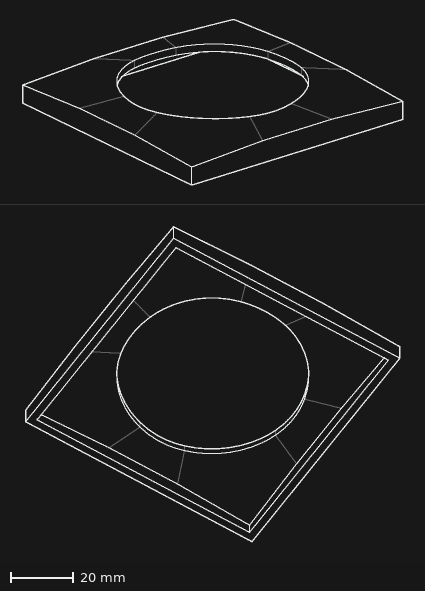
import cadquery as cq
import math

side = 87.1
hole_diameter = 61.85
mid_edge_height = 7.8
corner_height = 6.4
crest_height = 10.5
flat_half_width = 14.3
bevel_angle = 10.0
seam_angle = 22.5
roof_thickness = 2.7
wall_thickness = 2.7

half = side / 2
hole_radius = hole_diameter / 2
bevel_slope = math.tan(math.radians(bevel_angle))
rim_spans = 8
quarter_turns = (0, 90, 180, 270)


def bevel_height(y):
    """Height of the +Y bevel plane at distance y from the centre."""
    return mid_edge_height + (half - y) * bevel_slope


def seam_rim_angle():
    """Angle from +Y, about Z, at which a seam reaches the hole rim."""
    lean = math.radians(seam_angle)
    seam_offset = flat_half_width * math.cos(lean) - half * math.sin(lean)
    return lean + math.asin(seam_offset / hole_radius)


def rim_curve(start_angle, end_angle, height_at):
    """Spline round the bore, with angles from +Y and height_at(fraction, y)."""
    points = []
    for i in range(rim_spans + 1):
        fraction = i / rim_spans
        angle = start_angle + fraction * (end_angle - start_angle)
        x = hole_radius * math.sin(angle)
        y = hole_radius * math.cos(angle)
        points.append(cq.Vector(x, y, height_at(fraction, y)))
    return cq.Edge.makeSpline(points)


def swap_xy(point):
    """Reflect a point across the X = Y diagonal."""
    return cq.Vector(point.y, point.x, point.z)


def outline_face(edges):
    """Flat face bounded by a closed ring of edges."""
    return cq.Face.makeFromWires(cq.Wire.assembleEdges(edges))


def turned(shape, angle):
    return shape.rotate(cq.Vector(0, 0, 0), cq.Vector(0, 0, 1), angle)


line = cq.Edge.makeLine

rim_angle = seam_rim_angle()
rim_y = hole_radius * math.cos(rim_angle)
seam_rim_height = bevel_height(rim_y)
rim_right = cq.Vector(hole_radius * math.sin(rim_angle), rim_y, seam_rim_height)
rim_left = cq.Vector(-rim_right.x, rim_y, seam_rim_height)
foot_right = cq.Vector(flat_half_width, half, mid_edge_height)
foot_left = cq.Vector(-flat_half_width, half, mid_edge_height)
corner_right = cq.Vector(half, half, corner_height)
corner_left = cq.Vector(-half, half, corner_height)
base_right = cq.Vector(half, half, 0)
base_left = cq.Vector(-half, half, 0)


def corner_rim_height(fraction, _y):
    """Rim height across a corner, rising to the crest on the diagonal."""
    return seam_rim_height + (crest_height - seam_rim_height) * math.sin(math.pi * fraction)


corner_end_angle = math.pi / 2 - rim_angle
bevel_rim = rim_curve(-rim_angle, rim_angle, lambda _fraction, y: bevel_height(y))
corner_rim = rim_curve(rim_angle, corner_end_angle, corner_rim_height)
bevel_base_rim = rim_curve(-rim_angle, rim_angle, lambda _fraction, _y: 0)
corner_base_rim = rim_curve(rim_angle, corner_end_angle, lambda _fraction, _y: 0)

flat_bevel = outline_face([
    line(foot_left, foot_right),
    line(foot_right, rim_right),
    bevel_rim,
    line(rim_left, foot_left),
])

corner_patch = cq.Face.makeNSidedSurface(
    [
        line(rim_right, foot_right),
        line(foot_right, corner_right),
        line(corner_right, swap_xy(foot_right)),
        line(swap_xy(foot_right), swap_xy(rim_right)),
        corner_rim,
    ],
    [],
)

outer_wall = cq.Face.makeFromWires(
    cq.Wire.makePolygon(
        [base_left, base_right, corner_right, foot_right, foot_left, corner_left],
        close=True,
    )
)

bevel_bore = cq.Face.makeRuledSurface(bevel_rim, bevel_base_rim)
corner_bore = cq.Face.makeRuledSurface(corner_rim, corner_base_rim)

base_edges = [turned(line(base_left, base_right), turn) for turn in quarter_turns]
opening_edges = [
    turned(edge, turn)
    for turn in quarter_turns
    for edge in (bevel_base_rim, corner_base_rim)
]
base = cq.Face.makeFromWires(
    cq.Wire.combine(base_edges)[0],
    [cq.Wire.combine(opening_edges)[0]],
)

quarter_faces = [flat_bevel, corner_patch, outer_wall, bevel_bore, corner_bore]
skin = [turned(face, turn) for turn in quarter_turns for face in quarter_faces]
shell = cq.Shell.makeShell(skin + [base])
blank = cq.Workplane(obj=cq.Solid.makeSolid(shell).fix())

cavity_side = side - 2 * wall_thickness
cavity_limit = cq.Workplane().rect(cavity_side, cavity_side).extrude(crest_height)
cavity = blank.translate((0, 0, -roof_thickness)).intersect(cavity_limit)
result = blank.cut(cavity)